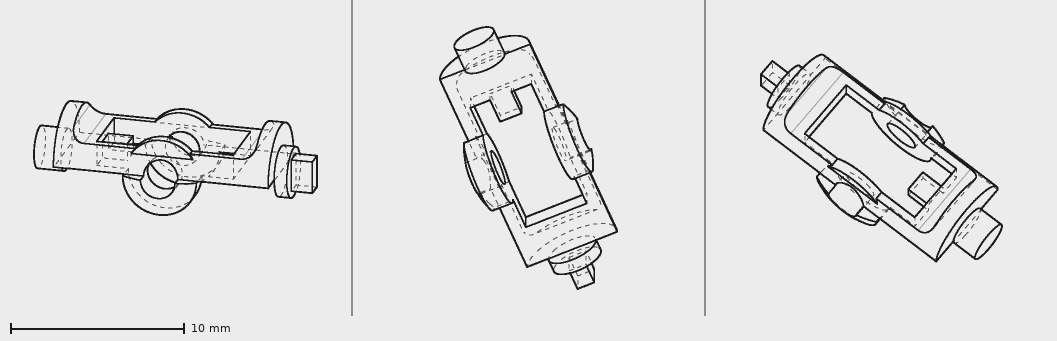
import cadquery as cq
import math


body_length = 12.83
body_radius = 2.83
floor_height = 1.48
end_wall = 0.94
floor_fillet = 0.75
window_length = 8.16
window_width = 3.82

pin_diameter = 2.5
pin_length = 1.6
flange_diameter = 3.0
flange_length = 0.75
tab_width = 1.05
tab_height = 1.94

block_length = 1.48
block_width = 1.35
block_height = 0.99

bore_diameter = 2.05
ear_radius = 2.2
upper_ear_span = 5.12
lower_ear_span = 7.02
ear_face_radius = bore_diameter / 2
ear_crown_drop = 0.4

overall_length = 16.45
half_length = body_length / 2
window_half = window_length / 2
tab_length = overall_length - pin_length - body_length - flange_length


def x_cylinder(start, length, diameter):
    return cq.Workplane("YZ", origin=(start, 0, 0)).circle(diameter / 2).extrude(length)


def y_cylinder(radius, span):
    return cq.Workplane("XZ").circle(radius).extrude(span / 2, both=True)


def make_frame():
    """Half cylinder with a filleted saddle cut between its end walls."""
    half_round = (
        cq.Workplane("YZ", origin=(-half_length, 0, 0))
        .moveTo(-body_radius, 0)
        .threePointArc((0, body_radius), (body_radius, 0))
        .close()
        .extrude(body_length)
    )
    saddle_length = body_length - 2 * end_wall
    saddle = (
        cq.Workplane("XY", origin=(0, 0, floor_height))
        .box(saddle_length, 2 * body_radius, body_radius, centered=(True, True, False))
        .edges("|Y and <Z")
        .fillet(floor_fillet)
    )
    return half_round.cut(saddle)


def make_lower_ears():
    """Lower half of a disc with crowned faces, revolved about the bore axis."""
    face_y = lower_ear_span / 2
    rim_y = face_y - ear_crown_drop
    radial_term = (ear_radius**2 - ear_face_radius**2) / ear_crown_drop
    center_y = (face_y + rim_y - radial_term) / 2
    crown_radius = math.hypot(ear_face_radius, face_y - center_y)
    middle_x = (ear_face_radius + ear_radius) / 2
    middle_y = center_y + math.sqrt(crown_radius**2 - middle_x**2)
    disc = (
        cq.Workplane("XY")
        .lineTo(ear_radius, 0)
        .lineTo(ear_radius, rim_y)
        .threePointArc((middle_x, middle_y), (ear_face_radius, face_y))
        .lineTo(0, face_y)
        .close()
        .revolve(360, (0, 0, 0), (0, 1, 0))
    )
    disc = disc.union(disc.mirror("XZ"))
    lower_half = cq.Workplane("XY").box(
        2 * ear_radius, lower_ear_span, ear_radius, centered=(True, True, False)
    ).translate((0, 0, -ear_radius))
    return disc.intersect(lower_half)


def make_upper_ears():
    upper_half = cq.Workplane("XY").box(
        2 * ear_radius, upper_ear_span, ear_radius, centered=(True, True, False)
    )
    return y_cylinder(ear_radius, upper_ear_span).intersect(upper_half)


def make_window():
    """Opening through the frame, also clearing the space between the ears."""
    return cq.Workplane("XY").box(window_length, window_width, 4 * body_radius)


def make_tab():
    tab_start = half_length + flange_length
    return cq.Workplane("XY", origin=(tab_start, 0, 0)).box(
        tab_length, tab_width, tab_height, centered=(False, True, True)
    )


def make_block():
    return cq.Workplane("XY", origin=(-window_half, 0, 0)).box(
        block_length, block_width, block_height, centered=(False, True, False)
    )


result = (
    make_frame()
    .union(make_upper_ears())
    .union(make_lower_ears())
    .cut(make_window())
    .cut(y_cylinder(bore_diameter / 2, lower_ear_span))
    .union(x_cylinder(-half_length - pin_length, pin_length, pin_diameter))
    .union(x_cylinder(half_length, flange_length, flange_diameter))
    .union(make_tab())
    .union(make_block())
)